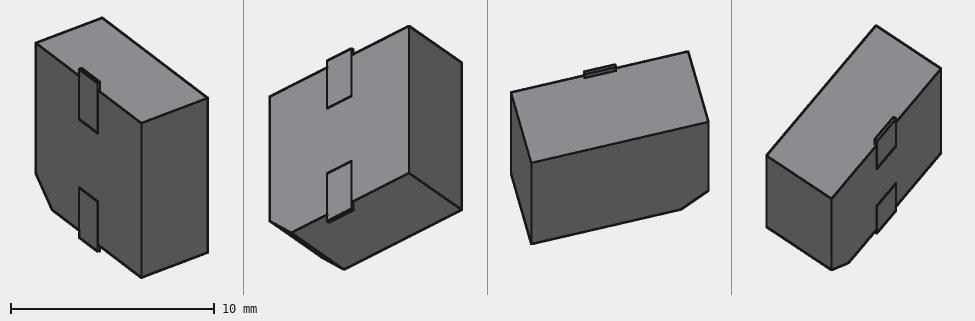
import cadquery as cq

height = 9.8
body_side = 9.0
overall_depth = 4.01

corner_cut = 1.39

terminal_width = 1.59
terminal_length = 2.91
terminal_thickness = 0.16
terminal_proud = 0.01

body_depth = overall_depth - terminal_proud


def make_body():
    """Block with its -Y face at Y = 0 and the corner at -X, -Z cut off."""
    block = cq.Workplane("XY").box(body_side, body_depth, body_side, centered=(True, False, True))
    return block.faces("<X").edges("<Z").chamfer(corner_cut)


def make_terminal(end):
    """Strip that overhangs the body at the +Z end (end = 1) or the -Z end (end = -1)."""
    strip = cq.Workplane("XY").box(
        terminal_width, terminal_thickness, terminal_length, centered=(True, False, True)
    )
    return strip.translate((0, -terminal_proud, end * (height - terminal_length) / 2))


result = make_body()
for end in (1, -1):
    result = result.union(make_terminal(end))